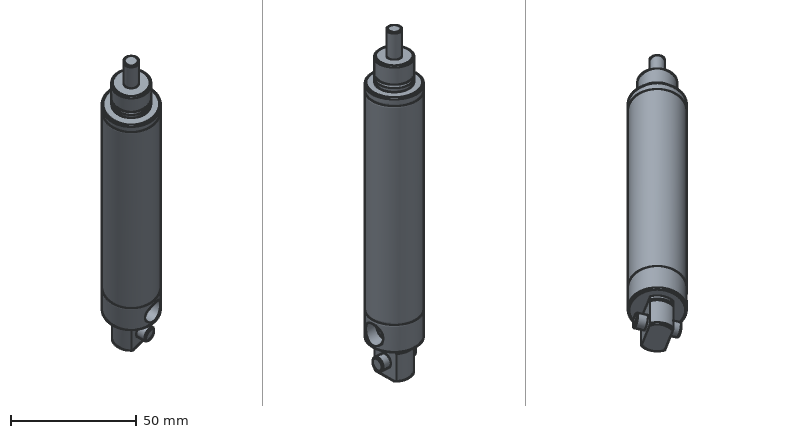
import cadquery as cq

total_height = 161.8
barrel_bottom = 16.2
barrel_top = 136.4
collar_top = 149.0

barrel_radius = 23.6 / 2
neck_radius = 16.0 / 2
rod_radius = 6.3 / 2
pin_radius = 6.3 / 2

edge_chamfer = 0.6
bar_chamfer = 0.5

collar_groove_z = 139.5
collar_groove_width = 1.6
collar_groove_depth = 0.6
collar_undercut = 0.5
upper_groove_z = 132.5
lower_groove_z = 29.5
barrel_groove_width = 2.0
barrel_groove_depth = 0.2
tang_groove_z = 13.9
tang_groove_width = 1.0
tang_groove_depth = 0.2

tang_thickness = 9.7
pin_length = 18.8
pin_z = 7.5
port_radius = 5.0
port_z = 22.7
port_depth = 6.5
rod_engagement = collar_top - barrel_top


def upright_cylinder(radius, bottom, top):
    """Cylinder on the Z axis between two heights."""
    return cq.Workplane("XY").workplane(offset=bottom).circle(radius).extrude(top - bottom)


def v_groove(radius, center_z, width, depth):
    """Ring with a triangular section that cuts a V groove into a cylinder."""
    return (
        cq.Workplane("XZ")
        .moveTo(radius, center_z - width / 2)
        .lineTo(radius - depth, center_z)
        .lineTo(radius, center_z + width / 2)
        .close()
        .revolve(360, (0, 0, 0), (0, 1, 0))
    )


def round_groove(radius, center_z, width, depth):
    """Ring with an arc section that cuts a rounded groove into a cylinder."""
    return (
        cq.Workplane("XZ")
        .moveTo(radius, center_z - width / 2)
        .threePointArc((radius - depth, center_z), (radius, center_z + width / 2))
        .close()
        .revolve(360, (0, 0, 0), (0, 1, 0))
    )


def cross_pin_cylinder():
    """Plain cylinder along X, used for the pin and for its hole."""
    return (
        cq.Workplane("YZ")
        .workplane(offset=-pin_length / 2)
        .center(0, pin_z)
        .circle(pin_radius)
        .extrude(pin_length)
    )


def make_barrel():
    """Barrel with two V grooves and a radial port."""
    barrel = upright_cylinder(barrel_radius, barrel_bottom, barrel_top)
    barrel = barrel.faces("<Z or >Z").chamfer(edge_chamfer)
    for groove_z in (lower_groove_z, upper_groove_z):
        barrel = barrel.cut(v_groove(barrel_radius, groove_z, barrel_groove_width, barrel_groove_depth))
    port = (
        cq.Workplane("YZ")
        .workplane(offset=barrel_radius - port_depth)
        .center(0, port_z)
        .circle(port_radius)
        .extrude(port_depth)
    )
    return barrel.cut(port)


def make_collar():
    """Grooved mounting collar on top of the barrel."""
    collar = upright_cylinder(neck_radius, barrel_top, collar_top)
    collar = collar.faces(">Z").chamfer(edge_chamfer)
    collar = collar.faces("<Z").chamfer(collar_undercut)
    return collar.cut(round_groove(neck_radius, collar_groove_z, collar_groove_width, collar_groove_depth))


def make_tang():
    """Round lower neck with two parallel flats facing along X."""
    tang = upright_cylinder(neck_radius, 0, barrel_bottom)
    tang = tang.faces("<Z").chamfer(edge_chamfer)
    tang = tang.cut(v_groove(neck_radius, tang_groove_z, tang_groove_width, tang_groove_depth))
    flats = cq.Workplane("XY").rect(tang_thickness, 2 * neck_radius).extrude(barrel_bottom)
    return tang.intersect(flats)


def make_housing():
    """Barrel, collar and tang as one body, with a rod socket and a pin hole."""
    housing = make_barrel().union(make_collar()).union(make_tang())
    socket = upright_cylinder(rod_radius, collar_top - rod_engagement, collar_top)
    return housing.cut(socket).cut(cross_pin_cylinder())


def make_rod():
    """Piston rod standing in the collar socket."""
    rod = upright_cylinder(rod_radius, collar_top - rod_engagement, total_height)
    return rod.faces(">Z").chamfer(bar_chamfer)


def make_pin():
    """Cross pin through the tang, chamfered at both ends."""
    return cross_pin_cylinder().faces("<X or >X").chamfer(bar_chamfer)


housing = make_housing()
rod = make_rod()
pin = make_pin()

result = cq.Compound.makeCompound([housing.val(), rod.val(), pin.val()])